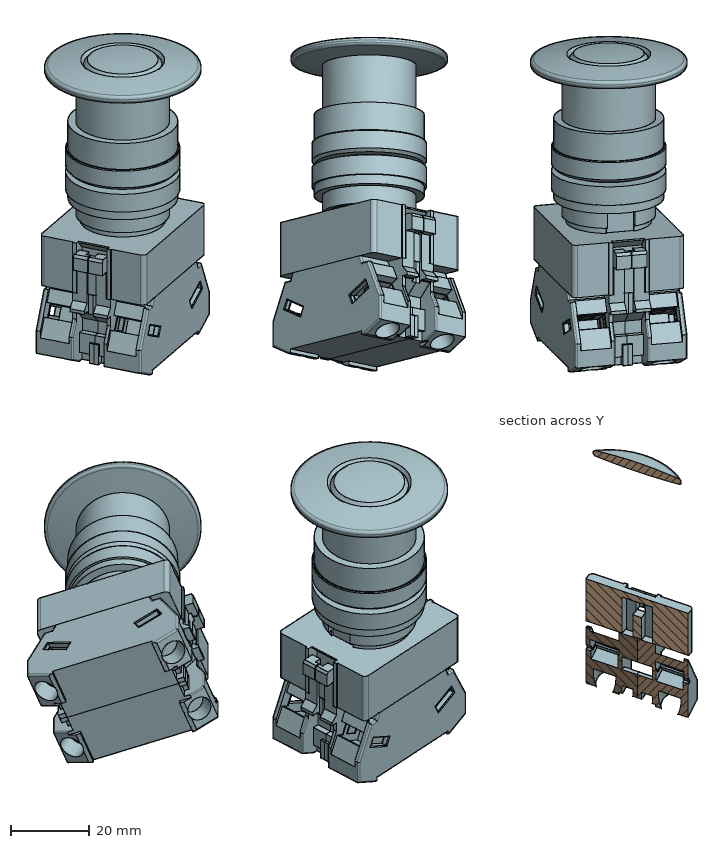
import cadquery as cq
import math


total_height = 79.9
cap_bottom = 62.3
housing_top = 34.75
housing_bottom = 20.8

cap_diameter = 40.0
cap_radius = cap_diameter / 2
stem_radius = 12.0
rim_inset = 0.8
rim_top, rim_upper, rim_lower, rim_bottom = 78.1, 77.2, 76.6, 76.0
underside_height = 75.2
groove_inner, groove_root, groove_outer = 9.0, 10.0, 10.7
groove_depth = 1.0

bezel_radius = 14.1
gasket_radius = 14.6
neck_radius = 10.95
bezel_bottom = 55.05
gasket_bottom = 49.4
gasket_edge = 0.2
gasket_chamfer = 0.8
collar_top, collar_bottom = 43.4, 41.0
flange_bottom = 36.4
keyway_width = 7.35
keyway_floor = 9.75

ring_top = 48.3

half_width = 14.9
housing_half_depth = 18.05
corner_radius = 1.2
guide_half_width = 5.35
guide_face = 18.45
channel_half_width = 4.3
channel_floor = 15.2
channel_mouth = 17.1
mouth_height = 0.4
web_half_width = 1.3
web_face = 17.8
overlap = 0.8

arm_outer = 4.1
arm_back = 17.25
tab_top, tab_bottom = 32.4, 28.1
tab_face = 20.7
tab_back = 19.1
tab_gap = 0.12
tab_bevel_depth, tab_bevel_height = 0.5, 0.8
barb_face = 20.1
barb_start, barb_edge, barb_bottom = 18.6, 16.9, 16.05

block_face = 20.5
ramp_top = 12.95
shelf_inner, shelf_outer, shelf_height = 13.75, 15.8, 18.9
slope_bottom = 9.2
face_bottom = 2.8
foot_outer, foot_inner = 14.7, 13.5
foot_side = 5.3
base_height = 0.95
outer_round = 0.5
inner_round = 0.3

core_lip = 18.2
core_floor = 14.8
core_ceiling = 15.8
centre_pad_face = 17.65
box_face, box_top, box_bottom = 16.45, 8.95, 3.4
box_foot_face = 15.2
key_face, key_top, key_bottom = 17.1, 6.8, 1.2

slope_angle = math.atan2(block_face - shelf_outer, shelf_height - slope_bottom)
terminal_centre = cq.Vector(0, -12.4, 11.5)
pocket_inner, pocket_outer = 5.35, 13.5
pocket_middle = (pocket_inner + pocket_outer) / 2
pocket_floor = 5.5
cavity_height = 3.8
pocket_reach = 8.0
cavity_end = 3.5
chamber_mouth = 3.35
chamber_wall = 0.2
well_mouth = 4.95
well_depth = 3.6
slot_length, slot_height = 6.55, 2.4
slot_chamfer = 0.2
wall_groove_width, wall_groove_depth = 3.35, 0.2
screw_hole_diameter = 6.4
screw_seat_diameter = 4.5
screw_seat_depth = 0.15
screw_hole_end = 6.4
cutter_reach = 31.95


def box_between(x0, x1, y0, y1, z0, z1):
    return cq.Workplane("XY").box(x1 - x0, y1 - y0, z1 - z0, centered=False).translate((x0, y0, z0))


def front_prism(outline, x0, x1):
    """Extrude an outline of (distance towards -Y, Z) points from x0 to x1."""
    points = [(-out, z) for out, z in outline]
    return cq.Workplane("YZ", origin=(x0, 0, 0)).polyline(points).close().extrude(x1 - x0)


def full_prism(outline, x0, x1):
    """Extrude a half outline, closed by its reflection in Y = 0, from x0 to x1."""
    points = [(-out, z) for out, z in outline] + [(out, z) for out, z in reversed(outline)]
    return cq.Workplane("YZ", origin=(x0, 0, 0)).polyline(points).close().extrude(x1 - x0)


def front_and_back(shape):
    return shape.union(shape.mirror("XZ"))


def cylinder(radius, bottom, top):
    return cq.Workplane("XY", origin=(0, 0, bottom)).circle(radius).extrude(top - bottom)


def make_cap():
    rim_radius = cap_radius - rim_inset
    dome_drop = total_height - rim_top
    dome_radius = (rim_radius**2 + dome_drop**2) / (2 * dome_drop)
    arc_ratio = 1 - math.sqrt(0.5)
    arc_radius = cap_radius - arc_ratio * rim_inset

    def dome(radius):
        return total_height - dome_radius + math.sqrt(dome_radius**2 - radius**2)

    profile = (
        cq.Workplane("XZ")
        .moveTo(0, cap_bottom)
        .lineTo(stem_radius, cap_bottom)
        .lineTo(stem_radius, underside_height)
        .lineTo(rim_radius, rim_bottom)
        .threePointArc((arc_radius, rim_bottom + arc_ratio * (rim_lower - rim_bottom)),
                       (cap_radius, rim_lower))
        .lineTo(cap_radius, rim_upper)
        .threePointArc((arc_radius, rim_top - arc_ratio * (rim_top - rim_upper)),
                       (rim_radius, rim_top))
        .threePointArc(((rim_radius + groove_outer) / 2, dome((rim_radius + groove_outer) / 2)),
                       (groove_outer, dome(groove_outer)))
        .lineTo(groove_root, dome(groove_root) - groove_depth)
        .lineTo(groove_inner, dome(groove_inner))
        .threePointArc((groove_inner / 2, dome(groove_inner / 2)), (0, total_height))
        .close()
    )
    return profile.revolve(360, (0, 0, 0), (0, 1, 0))


def make_operator():
    bezel = cylinder(bezel_radius, bezel_bottom, cap_bottom)
    gasket = (
        cylinder(gasket_radius, gasket_bottom, bezel_bottom)
        .faces(">Z").chamfer(gasket_edge)
        .faces("<Z").chamfer(gasket_chamfer)
    )
    neck = cylinder(neck_radius, housing_top, gasket_bottom)
    collar = cylinder(bezel_radius, collar_bottom, collar_top)
    flange = cylinder(stem_radius, flange_bottom, collar_bottom)
    keyway = box_between(-keyway_width / 2, keyway_width / 2, keyway_floor, bezel_radius,
                         housing_top, collar_bottom)
    lower = neck.union(flange).cut(keyway)
    return lower.union(collar).union(gasket).union(bezel)


def make_lock_ring():
    return cylinder(gasket_radius, collar_top, ring_top).cut(cylinder(neck_radius, collar_top, ring_top))


def make_housing():
    body = box_between(-half_width, half_width, -housing_half_depth, housing_half_depth,
                       housing_bottom, housing_top).edges("|Z").fillet(corner_radius)
    guide = box_between(-guide_half_width, guide_half_width, -guide_face, -channel_floor,
                        housing_bottom, housing_top)
    slant_top = housing_top - mouth_height
    slant_bottom = slant_top - (channel_mouth - channel_floor)
    beyond = guide_face + overlap
    channel = front_prism(
        [(beyond, housing_bottom), (channel_floor, housing_bottom), (channel_floor, slant_bottom),
         (channel_mouth, slant_top), (channel_mouth, housing_top), (beyond, housing_top)],
        -channel_half_width, channel_half_width)
    web = box_between(-web_half_width, web_half_width, -web_face, -channel_floor + overlap,
                      housing_bottom, tab_bottom)
    return body.union(front_and_back(guide)).cut(front_and_back(channel)).union(front_and_back(web))


def make_terminal_body():
    body = full_prism(
        [(ramp_top, housing_bottom), (shelf_inner, shelf_height), (shelf_outer, shelf_height),
         (block_face, slope_bottom), (block_face, face_bottom), (foot_outer, 0),
         (foot_inner, 0), (foot_inner, base_height)],
        channel_half_width, half_width)
    front_edges = cq.selectors.BoxSelector((0, ramp_top, base_height),
                                           (cutter_reach, cutter_reach, housing_bottom))
    back_edges = cq.selectors.BoxSelector((0, -cutter_reach, base_height),
                                          (cutter_reach, -ramp_top, housing_bottom))
    body = body.faces(">X").edges(front_edges + back_edges).fillet(outer_round)
    body = body.faces("<X").edges(front_edges + back_edges).fillet(inner_round)
    foot_relief = box_between(channel_half_width, foot_side, -block_face, block_face, 0, base_height)
    return body.cut(foot_relief)


def make_core():
    """Central part between the terminals, with latch barbs and stepped ends."""
    ceiling_end = core_ceiling - (core_lip - core_floor)
    core = full_prism(
        [(core_lip, housing_bottom), (core_lip, core_ceiling), (core_floor, ceiling_end),
         (core_floor, box_top), (box_face, box_top), (box_face, box_bottom),
         (box_foot_face, box_bottom), (box_foot_face, base_height)],
        0, channel_half_width)
    pad_relief = box_between(0, web_half_width, -tab_face, -centre_pad_face, core_ceiling - overlap,
                             housing_bottom)
    key = box_between(0, web_half_width, -key_face, -core_floor, key_bottom, key_top)
    arm_root = front_prism(
        [(ramp_top, housing_bottom), (guide_face, housing_bottom), (guide_face, barb_start),
         (barb_face, barb_edge), (barb_face, barb_bottom), (core_lip, barb_bottom),
         (ramp_top, barb_bottom)],
        web_half_width, guide_half_width)
    side_strip = box_between(channel_half_width, guide_half_width, -guide_face, -channel_floor,
                             slope_bottom, barb_bottom)
    return (
        core.cut(front_and_back(pad_relief))
        .union(front_and_back(key))
        .union(front_and_back(arm_root))
        .union(front_and_back(side_strip))
    )


def make_latch_arm():
    """Arm rising in the housing channel, with a release tab at its top."""
    arm = box_between(web_half_width, arm_outer, -guide_face, -arm_back,
                      housing_bottom - overlap, tab_top)
    bevel_start = tab_top - tab_bevel_height

    def tab_outline(back):
        return [(back, tab_bottom), (tab_face, tab_bottom), (tab_face, bevel_start),
                (tab_face - tab_bevel_depth, tab_top), (back, tab_top)]

    prong = front_prism(tab_outline(arm_back), web_half_width, arm_outer)
    plate = front_prism(tab_outline(tab_back), tab_gap, arm_outer)
    return arm.union(prong).union(plate)


def make_terminal_cutter():
    """Pocket, wire cavity, side slot and screw hole of the terminal on the -Y side."""
    up_slope = cq.Vector(0, math.sin(slope_angle), math.cos(slope_angle))
    frame = cq.Plane(origin=terminal_centre, xDir=(1, 0, 0), normal=up_slope)

    def tilted_box(x_range, y_range, z_range):
        (x0, x1), (y0, y1), (z0, z1) = x_range, y_range, z_range
        return (
            cq.Workplane(frame)
            .center((x0 + x1) / 2, (y0 + y1) / 2)
            .workplane(offset=(z0 + z1) / 2)
            .box(x1 - x0, y1 - y0, z1 - z0)
        )

    def centred(size):
        return (-size / 2, size / 2)

    pocket_span = (pocket_inner, pocket_outer)
    chamber_span = (pocket_inner + chamber_wall, pocket_outer - chamber_wall)
    chamber_height = cavity_height - 2 * chamber_wall
    pocket = tilted_box(pocket_span, (-pocket_reach, -pocket_floor), centred(cutter_reach))
    mouth = tilted_box(pocket_span, (-pocket_floor, -chamber_mouth), centred(cavity_height))
    chamber = tilted_box(chamber_span, (-chamber_mouth, cavity_end), centred(chamber_height))
    well = tilted_box(chamber_span, (-well_mouth, cavity_end), (-well_depth, 0))
    wall_groove = tilted_box((chamber_span[0] - wall_groove_depth, pocket_middle),
                             centred(wall_groove_width), centred(chamber_height))
    slot = tilted_box((pocket_middle, half_width), centred(slot_length), centred(slot_height))
    slot_flare = (
        cq.Workplane(cq.Plane(origin=terminal_centre + cq.Vector(half_width, 0, 0),
                              xDir=up_slope, normal=(-1, 0, 0)))
        .rect(slot_height + 2 * slot_chamfer, slot_length + 2 * slot_chamfer)
        .extrude(slot_chamfer, taper=45)
    )
    axis = cq.Workplane(frame).center(pocket_middle, 0)
    screw_hole = (
        axis.workplane(offset=-screw_hole_end)
        .circle(screw_hole_diameter / 2)
        .extrude(screw_hole_end - cutter_reach)
    )
    screw_seat = axis.circle(screw_seat_diameter / 2).extrude(chamber_height / 2 + screw_seat_depth)
    cutter = pocket
    for cut in (mouth, chamber, well, wall_groove, slot, slot_flare, screw_hole, screw_seat):
        cutter = cutter.union(cut)
    return cutter


def make_contact_block():
    terminals = make_terminal_body().cut(front_and_back(make_terminal_cutter()))
    return terminals.union(make_core()).union(front_and_back(make_latch_arm()))


cap = make_cap()
operator = make_operator()
lock_ring = make_lock_ring()
housing = make_housing()
right_block = make_contact_block()
contact_blocks = [right_block, right_block.mirror("YZ")]

result = cq.Compound.makeCompound(
    [cap.val(), operator.val(), lock_ring.val(), housing.val()]
    + [solid for block in contact_blocks for solid in block.vals()]
)